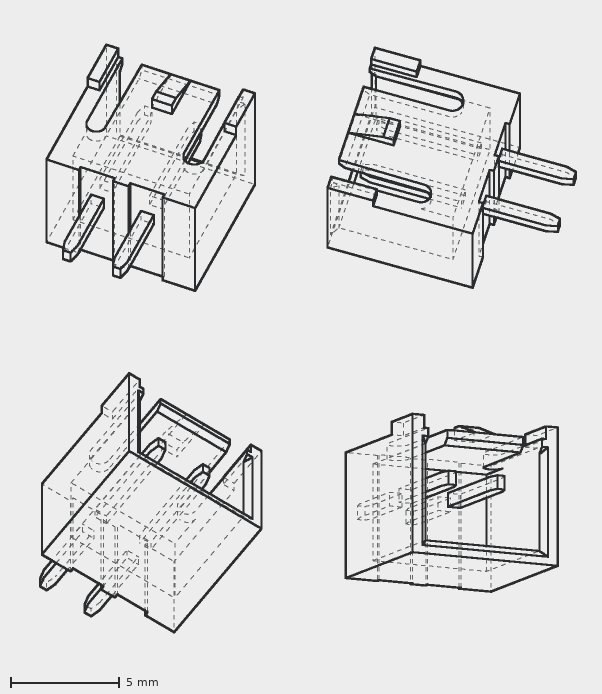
import cadquery as cq


housing_width = 7.46
housing_length = 7.0
housing_height = 5.9

side_wall = 0.81
top_wall = 0.68
floor_wall = top_wall
back_wall = 1.2
mouth_chamfer = 0.3
cavity_width = housing_width - 2 * side_wall
cavity_height = housing_height - top_wall - floor_wall

raised_height = 0.6
raised_length = 2.2
rail_width = 0.6
latch_width = 1.0
latch_ramp_length = 1.7

slot_straight_length = 4.13
cavity_side = cavity_width / 2
slot_inner_edge = 1.95
left_slot_taper = 0.05
right_slot_flare = 0.04

channel_depth = 0.2
channel_inner_edge = 0.39
channel_outer_edge = 2.1
channel_width = channel_outer_edge - channel_inner_edge

pin_pitch = 2.5
pin_size = 0.64
pin_tip_width = 0.38
pin_taper_length = 0.5
pin_axis_height = 3.86
pin_tail_length = 3.4
pin_contact_end = 6.1


def box(width, length, height, x_center, y_start, z_start):
    """Block centred on x_center that grows toward +Y and +Z."""
    block = cq.Workplane("XY").box(width, length, height, centered=(True, False, False))
    return block.translate((x_center, y_start, z_start))


def make_cavity():
    """Plug cavity with a chamfered lead-in around its mouth."""
    cavity_length = housing_length - back_wall
    cavity = box(cavity_width, cavity_length, cavity_height, 0, back_wall, floor_wall)
    lead_in = (
        cq.Workplane("XZ", origin=(0, housing_length, floor_wall + cavity_height / 2))
        .rect(cavity_width + 2 * mouth_chamfer, cavity_height + 2 * mouth_chamfer)
        .workplane(offset=mouth_chamfer)
        .rect(cavity_width, cavity_height)
        .loft(ruled=True)
    )
    return cavity.union(lead_in)


def make_slot(mouth_left, mouth_right, root_left, root_right):
    """Slot through the top wall, open at the mouth and rounded at its root."""
    root_y = housing_length - slot_straight_length
    root_center = (root_left + root_right) / 2
    root_radius = (root_right - root_left) / 2
    return (
        cq.Workplane("XY", origin=(0, 0, housing_height))
        .moveTo(mouth_left, housing_length)
        .lineTo(root_left, root_y)
        .threePointArc((root_center, root_y - root_radius), (root_right, root_y))
        .lineTo(mouth_right, housing_length)
        .close()
        .extrude(-top_wall)
    )


def make_latch():
    """Central latch that ramps up from the mouth to a short flat."""
    raised_top = housing_height + raised_height
    return (
        cq.Workplane("YZ")
        .moveTo(housing_length, housing_height)
        .lineTo(housing_length - latch_ramp_length, raised_top)
        .lineTo(housing_length - raised_length, raised_top)
        .lineTo(housing_length - raised_length, housing_height)
        .close()
        .extrude(latch_width / 2, both=True)
    )


def make_pin(x_center):
    """Square pin whose two ends narrow in X only."""
    half = pin_size / 2
    tip_half = pin_tip_width / 2
    tail_end = -pin_tail_length
    outline = [
        (-tip_half, tail_end),
        (tip_half, tail_end),
        (half, tail_end + pin_taper_length),
        (half, pin_contact_end - pin_taper_length),
        (tip_half, pin_contact_end),
        (-tip_half, pin_contact_end),
        (-half, pin_contact_end - pin_taper_length),
        (-half, tail_end + pin_taper_length),
    ]
    pin = cq.Workplane("XY").polyline(outline).close().extrude(half, both=True)
    return pin.translate((x_center, 0, pin_axis_height))


def make_housing():
    """Housing shell with its rails, latch, slots and back channels."""
    housing = box(housing_width, housing_length, housing_height, 0, 0, 0)
    housing = housing.cut(make_cavity())

    left_slot = make_slot(
        -cavity_side, -slot_inner_edge, -cavity_side, -slot_inner_edge - left_slot_taper
    )
    right_slot = make_slot(
        slot_inner_edge, cavity_side, slot_inner_edge, cavity_side + right_slot_flare
    )
    housing = housing.cut(left_slot).cut(right_slot)

    raised_start = housing_length - raised_length
    rail_center = (housing_width - rail_width) / 2
    channel_center = (channel_inner_edge + channel_outer_edge) / 2
    for side in (-1, 1):
        rail = box(
            rail_width, raised_length, raised_height, side * rail_center, raised_start, housing_height
        )
        channel = box(channel_width, channel_depth, housing_height, side * channel_center, 0, 0)
        housing = housing.union(rail).cut(channel)
    return housing.union(make_latch())


result = make_housing()
for pin_side in (-1, 1):
    result = result.union(make_pin(pin_side * pin_pitch / 2))